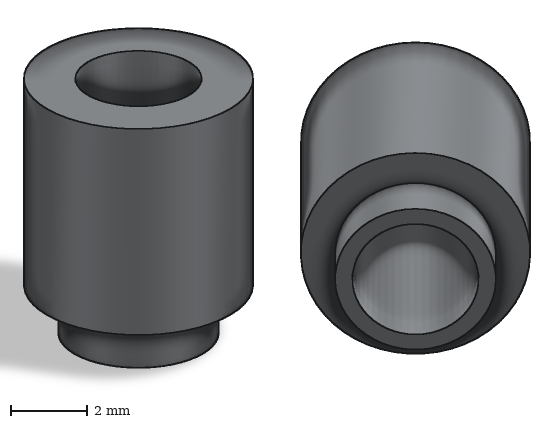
import cadquery as cq

total_height = 7.4
body_diameter = 6.0
spigot_diameter = 4.2
spigot_height = 1.4
bore_diameter = 3.3

body_height = total_height - spigot_height

spigot = cq.Workplane("XY").circle(spigot_diameter / 2).extrude(spigot_height)
sleeve = spigot.faces(">Z").workplane().circle(body_diameter / 2).extrude(body_height)

result = sleeve.faces(">Z").workplane().hole(bore_diameter)